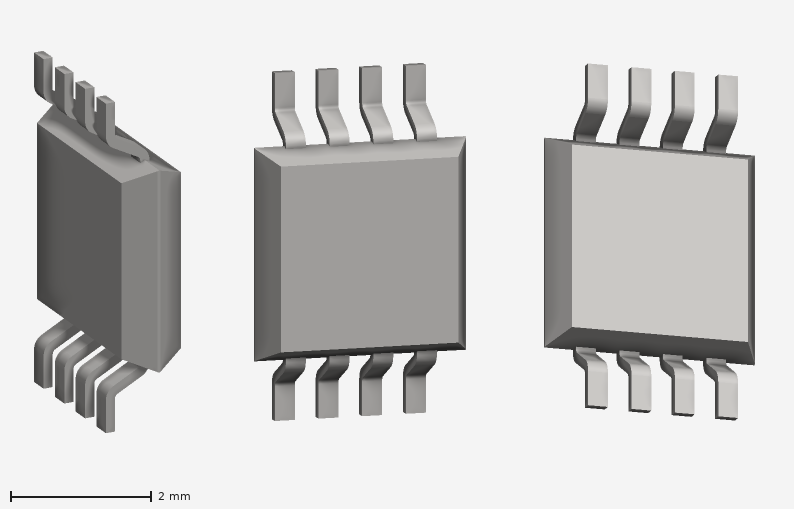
import cadquery as cq
import math

TOTAL_LENGTH = 5.05

BODY_WIDTH = 3.15
BODY_LENGTH = 3.1
BODY_THICKNESS = 0.955
RIM_THICKNESS = 0.045
SIDE_INSET = 0.25
END_INSET = 0.2

LEADS_PER_END = 4
LEAD_PITCH = 0.65
LEAD_WIDTH = 0.3
LEAD_THICKNESS = 0.145
STANDOFF = 0.145
FOOT_LENGTH = 0.505
OUTER_BEND_RADIUS = 0.22
BEND_ANGLE = math.radians(62.5)
ROOT_DEPTH = 0.305

BEND_RADIUS = OUTER_BEND_RADIUS - LEAD_THICKNESS / 2


def moulded_body():
    """Body tapering to both broad faces: banded along its sides, sharp-ridged at its ends."""
    half_thickness = BODY_THICKNESS / 2
    half_rim = RIM_THICKNESS / 2
    rim_x = BODY_WIDTH / 2
    face_x = rim_x - SIDE_INSET
    rim_z = BODY_LENGTH / 2
    face_z = rim_z - END_INSET

    across = [
        (face_x, half_thickness),
        (rim_x, half_rim),
        (rim_x, -half_rim),
        (face_x, -half_thickness),
        (-face_x, -half_thickness),
        (-rim_x, -half_rim),
        (-rim_x, half_rim),
        (-face_x, half_thickness),
    ]
    along = [
        (half_thickness, face_z),
        (0, rim_z),
        (-half_thickness, face_z),
        (-half_thickness, -face_z),
        (0, -rim_z),
        (half_thickness, -face_z),
    ]
    side_taper = cq.Workplane("XY").polyline(across).close().extrude(rim_z, both=True)
    end_taper = cq.Workplane("YZ").polyline(along).close().extrude(rim_x, both=True)
    return side_taper.intersect(end_taper)


def top_lead(x_center):
    """One lead at the +Z end: a strip swept along foot, bend, ramp, bend and root."""
    tip_z = TOTAL_LENGTH / 2
    foot_y = -(BODY_THICKNESS / 2 + STANDOFF - LEAD_THICKNESS / 2)
    foot_end_z = tip_z - FOOT_LENGTH

    bend_y = BEND_RADIUS * (1 - math.cos(BEND_ANGLE))
    bend_z = BEND_RADIUS * math.sin(BEND_ANGLE)
    ramp_y = -foot_y - 2 * bend_y
    ramp_z = ramp_y / math.tan(BEND_ANGLE)
    root_z = foot_end_z - 2 * bend_z - ramp_z

    half_angle = BEND_ANGLE / 2
    mid_y = BEND_RADIUS * (1 - math.cos(half_angle))
    mid_z = BEND_RADIUS * math.sin(half_angle)

    center_line = (
        cq.Workplane("YZ", origin=(x_center, 0, 0))
        .moveTo(foot_y, tip_z)
        .lineTo(foot_y, foot_end_z)
        .threePointArc((foot_y + mid_y, foot_end_z - mid_z), (foot_y + bend_y, foot_end_z - bend_z))
        .lineTo(-bend_y, root_z + bend_z)
        .threePointArc((-mid_y, root_z + mid_z), (0, root_z))
        .lineTo(0, root_z - ROOT_DEPTH)
    )
    return (
        cq.Workplane("XY", origin=(x_center, foot_y, tip_z))
        .rect(LEAD_WIDTH, LEAD_THICKNESS)
        .sweep(center_line)
    )


result = moulded_body()
for index in range(LEADS_PER_END):
    lead = top_lead((index - (LEADS_PER_END - 1) / 2) * LEAD_PITCH)
    result = result.union(lead).union(lead.mirror("XY"))